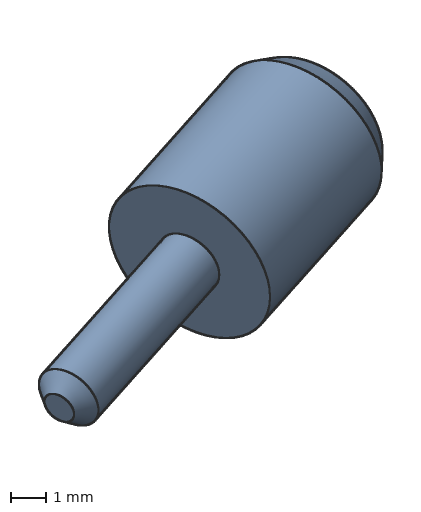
import cadquery as cq
import math

total_length = 14.0
head_diameter = 5.4
head_length = total_length / 2
pin_diameter = 2.0
pin_chamfer = 0.5

taper_length = 1.0
taper_angle = math.radians(30)
end_round = 0.6

tip_y = -total_length / 2
shoulder_y = tip_y + total_length - head_length
end_y = total_length / 2
taper_start_y = end_y - taper_length

head_radius = head_diameter / 2
pin_radius = pin_diameter / 2

arc_center_y = end_y - end_round
arc_start_y = arc_center_y + end_round * math.sin(taper_angle)
arc_start_radius = head_radius - (arc_start_y - taper_start_y) * math.tan(taper_angle)
arc_center_radius = arc_start_radius - end_round * math.cos(taper_angle)
arc_mid_angle = (taper_angle + math.pi / 2) / 2
arc_middle = (
    arc_center_radius + end_round * math.cos(arc_mid_angle),
    arc_center_y + end_round * math.sin(arc_mid_angle),
)

half_profile = (
    cq.Workplane("XY")
    .moveTo(0, tip_y)
    .lineTo(pin_radius - pin_chamfer, tip_y)
    .lineTo(pin_radius, tip_y + pin_chamfer)
    .lineTo(pin_radius, shoulder_y)
    .lineTo(head_radius, shoulder_y)
    .lineTo(head_radius, taper_start_y)
    .lineTo(arc_start_radius, arc_start_y)
    .threePointArc(arc_middle, (arc_center_radius, end_y))
    .lineTo(0, end_y)
    .close()
)

result = half_profile.revolve(360, (0, 0, 0), (0, 1, 0))